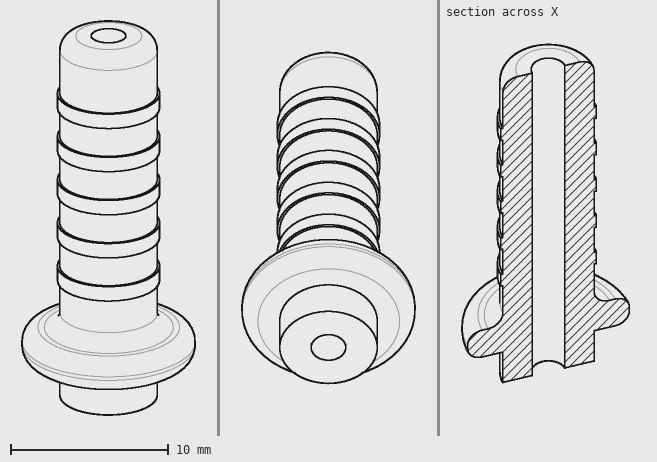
import cadquery as cq

total_height = 25.0
stem_diameter = 6.2
bore_diameter = 2.2
round_radius = 1.0

collar_diameter = 11.0
collar_bottom = 2.5
collar_thickness = 2.25
collar_top = collar_bottom + collar_thickness

band_diameter = 6.5
band_height = 1.0
band_pitch = 3.0
band_count = 5
first_band_bottom = 8.0


def cylinder(diameter, bottom, height):
    """Solid cylinder on the Z axis, starting at the given height."""
    return cq.Workplane("XY").workplane(offset=bottom).circle(diameter / 2).extrude(height)


def make_stem():
    """Plain stem with a rounded tip."""
    return cylinder(stem_diameter, 0, total_height).faces(">Z").edges().fillet(round_radius)


def make_collar():
    """Disc with both rim edges rounded."""
    disc = cylinder(collar_diameter, collar_bottom, collar_thickness)
    return disc.edges().fillet(round_radius)


def make_collar_root():
    """Concave flare that blends the collar's upper face into the stem."""
    stem_radius = stem_diameter / 2
    flare_radius = stem_radius + round_radius
    flare_top = collar_top + round_radius
    arc_reach = round_radius * (1 - 0.5**0.5)
    return (
        cq.Workplane("XZ")
        .moveTo(0, collar_top)
        .lineTo(flare_radius, collar_top)
        .threePointArc((stem_radius + arc_reach, collar_top + arc_reach), (stem_radius, flare_top))
        .lineTo(0, flare_top)
        .close()
        .revolve(360, (0, 0, 0), (0, 1, 0))
    )


body = make_stem().union(make_collar()).union(make_collar_root())
for index in range(band_count):
    band_bottom = first_band_bottom + index * band_pitch
    body = body.union(cylinder(band_diameter, band_bottom, band_height))

result = body.cut(cylinder(bore_diameter, 0, total_height))